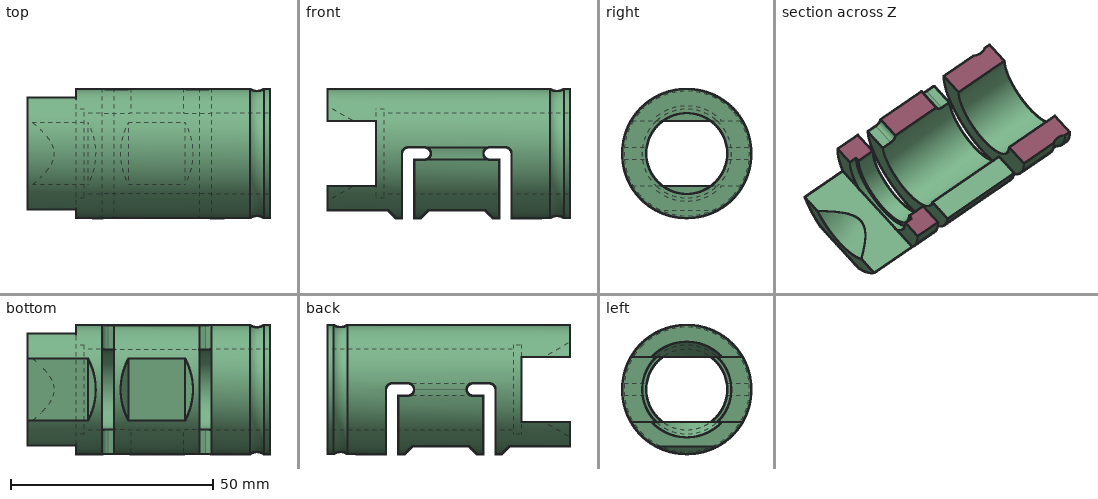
import cadquery as cq
import math

length = 60.0
outer_diameter = 32.0
outer_radius = outer_diameter / 2
bore_diameter = 20.0
counterbore_diameter = 22.0
counterbore_end = 14.0

mouth_depth = 12.0
mouth_height = 15.95
seat_rim_radius = 11.8
seat_half_angle = 30.0
seat_apex_x = seat_rim_radius / math.tan(math.radians(seat_half_angle))

groove_center = 56.7
groove_width = 3.5
groove_depth = 0.55

slot_width = 3.0
window_start = 18.5
window_end = 45.5
window_corner_radius = 1.5
flap_start = window_start + slot_width
flap_end = window_end - slot_width
hinge_start = 25.55
hinge_end = 38.6

flat_z = -14.05
flat_rise = outer_radius + flat_z
land_width = 1.55

overrun = 3.0
reach = outer_radius + overrun


def box_between(x_min, x_max, y_min, y_max, z_min, z_max):
    return cq.Workplane("XY").box(
        x_max - x_min, y_max - y_min, z_max - z_min, centered=False
    ).translate((x_min, y_min, z_min))


def bored_sleeve():
    sleeve = cq.Workplane("YZ").circle(outer_radius).extrude(length)
    bore = (
        cq.Workplane("ZY", origin=(mouth_depth, 0, 0))
        .circle(bore_diameter / 2)
        .extrude(-length)
    )
    counterbore = (
        cq.Workplane("ZY", origin=(mouth_depth, 0, 0))
        .circle(counterbore_diameter / 2)
        .extrude(mouth_depth - counterbore_end)
    )
    return sleeve.cut(bore).cut(counterbore)


def mouth():
    slot = cq.Workplane("XY").box(2 * mouth_depth, 2 * reach, mouth_height)
    seat = (
        cq.Workplane("XY")
        .polyline([(0, 0), (0, seat_rim_radius), (seat_apex_x, 0)])
        .close()
        .revolve(360, (0, 0, 0), (1, 0, 0))
        .intersect(box_between(0, mouth_depth, -reach, reach, -reach, reach))
    )
    return slot.union(seat)


def end_groove():
    """Ring with a circular-arc floor, closed outside the sleeve."""
    left = groove_center - groove_width / 2
    right = groove_center + groove_width / 2
    return (
        cq.Workplane("XY")
        .moveTo(left, outer_radius)
        .threePointArc((groove_center, outer_radius - groove_depth), (right, outer_radius))
        .lineTo(right, reach)
        .lineTo(left, reach)
        .close()
        .revolve(360, (0, 0, 0), (1, 0, 0))
    )


def flap_slots():
    """U-shaped slot around the flap, interrupted by the hinge on the +Y side."""
    half_slot = slot_width / 2
    window = (
        box_between(window_start, window_end, -reach, reach, -reach, half_slot)
        .edges("|Y and >Z")
        .fillet(window_corner_radius)
    )
    flap = box_between(flap_start, flap_end, -reach, reach, -reach, -half_slot)
    left_center = hinge_start - half_slot
    right_center = hinge_end + half_slot
    hinge = box_between(left_center, right_center, 0, reach, -half_slot, half_slot)
    for end_x in (left_center, right_center):
        slot_end = (
            cq.Workplane("XZ", origin=(end_x, reach, 0))
            .circle(half_slot)
            .extrude(reach)
        )
        hinge = hinge.cut(slot_end)
    return window.cut(flap).cut(hinge)


def underside_flat(crest_start, crest_end):
    """Flat between two 45 degree ramps that meet the lowest line of the sleeve."""
    outline_depth = flat_rise + overrun
    return (
        cq.Workplane("XZ", origin=(0, reach, 0))
        .moveTo(crest_start - overrun, flat_z - outline_depth)
        .lineTo(crest_start + flat_rise, flat_z)
        .lineTo(crest_end - flat_rise, flat_z)
        .lineTo(crest_end + overrun, flat_z - outline_depth)
        .close()
        .extrude(2 * reach)
    )


result = (
    bored_sleeve()
    .cut(mouth())
    .cut(end_groove())
    .cut(flap_slots())
    .cut(underside_flat(-2 * flat_rise, window_start - land_width))
    .cut(underside_flat(flap_start + land_width, flap_end - land_width))
)